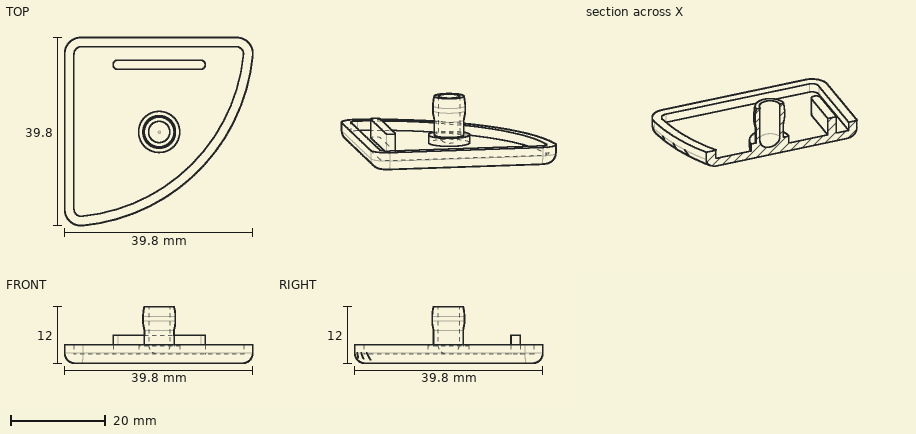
import cadquery as cq
import math

tray_radius = 40.0
corner_radius = 3.5
tray_height = 4.0
wall_thickness = 2.0
floor_thickness = 2.0
bottom_fillet = 2.25

pin_x = 20.0
pin_y = -20.0
collar_diameter = 8.7
collar_top = 3.7
pin_diameter = 6.3
pin_top = 12.0
barb_diameter = 6.9
barb_start = 7.0
barb_band_bottom = 9.0
barb_band_top = 10.0

bore_diameter = 4.5
bore_bottom = floor_thickness
bore_flat_diameter = 0.5

rib_length = 19.5
rib_width = 2.0
rib_top = 6.0
rib_y = -5.8


def quarter_plate(inset, bottom, top):
    """Quarter disc with rounded corners, set in from the tray outline by `inset`."""
    radius = tray_radius - inset
    rounding = corner_radius - inset
    reach = math.sqrt(radius**2 - inset**2)
    middle = radius * math.sqrt(0.5)
    return (
        cq.Workplane("XY", origin=(0, 0, bottom))
        .moveTo(inset, -inset)
        .lineTo(reach, -inset)
        .threePointArc((middle, -middle), (inset, -reach))
        .close()
        .extrude(top - bottom)
        .edges("|Z")
        .fillet(rounding)
    )


def make_tray():
    outer = quarter_plate(0, 0, tray_height).faces("<Z").edges().fillet(bottom_fillet)
    return outer.cut(quarter_plate(wall_thickness, floor_thickness, tray_height))


def make_collar():
    return (
        cq.Workplane("XY", origin=(pin_x, pin_y, floor_thickness))
        .circle(collar_diameter / 2)
        .extrude(collar_top - floor_thickness)
    )


def barb_arc_midpoint(end_z, band_z):
    """Point halfway along a barb arc that is tangent to the straight band at `band_z`."""
    rise = abs(end_z - band_z)
    bulge = (barb_diameter - pin_diameter) / 2
    arc_radius = (rise**2 + bulge**2) / (2 * bulge)
    half_angle = math.asin(rise / arc_radius) / 2
    direction = math.copysign(1, end_z - band_z)
    radial = barb_diameter / 2 - arc_radius * (1 - math.cos(half_angle))
    return radial, band_z + direction * arc_radius * math.sin(half_angle)


def make_pin():
    pin_radius = pin_diameter / 2
    barb_radius = barb_diameter / 2
    return (
        cq.Workplane("XZ")
        .moveTo(0, floor_thickness)
        .lineTo(pin_radius, floor_thickness)
        .lineTo(pin_radius, barb_start)
        .threePointArc(barb_arc_midpoint(barb_start, barb_band_bottom), (barb_radius, barb_band_bottom))
        .lineTo(barb_radius, barb_band_top)
        .threePointArc(barb_arc_midpoint(pin_top, barb_band_top), (pin_radius, pin_top))
        .lineTo(0, pin_top)
        .close()
        .revolve(360, (0, 0), (0, 1))
        .translate((pin_x, pin_y, 0))
    )


def make_bore():
    bottom_rounding = (bore_diameter - bore_flat_diameter) / 2
    return (
        cq.Workplane("XY", origin=(pin_x, pin_y, bore_bottom))
        .circle(bore_diameter / 2)
        .extrude(pin_top - bore_bottom)
        .faces("<Z")
        .edges()
        .fillet(bottom_rounding)
    )


def make_rib():
    return (
        cq.Workplane("XY", origin=(pin_x, rib_y, floor_thickness))
        .slot2D(rib_length, rib_width)
        .extrude(rib_top - floor_thickness)
    )


result = make_tray().union(make_collar()).union(make_pin()).union(make_rib()).cut(make_bore())